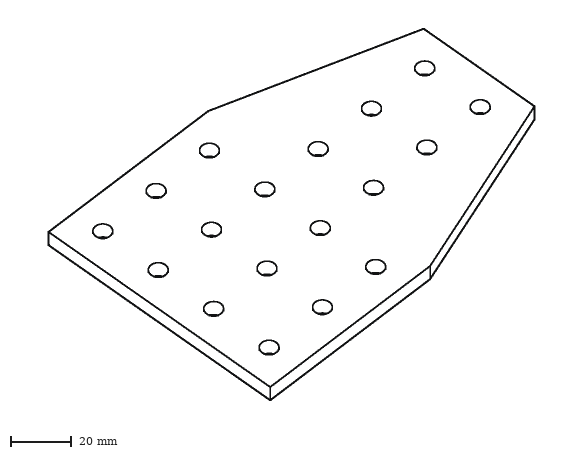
import cadquery as cq

length = 152.4
thickness = 6.4
hole_diameter = 6.5
rows = 6
wide_columns = 4
narrow_columns = 2
wide_rows = 3

pitch = length / rows
half_width = wide_columns * pitch / 2
half_end_width = narrow_columns * pitch / 2
taper_start = wide_rows * pitch


def hole_centres():
    """Grid cell centres: full-width rows first, then the tapered rows."""
    centres = []
    for row in range(rows):
        columns = wide_columns if row < wide_rows else narrow_columns
        for column in range(columns):
            x = (column - (columns - 1) / 2) * pitch
            y = (row + 0.5) * pitch
            centres.append((x, y))
    return centres


def plate():
    """Flat plate, straight-sided at the wide end and tapering to the narrow end."""
    outline = [
        (-half_width, 0),
        (half_width, 0),
        (half_width, taper_start),
        (half_end_width, length),
        (-half_end_width, length),
        (-half_width, taper_start),
    ]
    return cq.Workplane("XY").polyline(outline).close().extrude(thickness)


def hole_cutters():
    """Cylinders through the full plate thickness."""
    return cq.Workplane("XY").pushPoints(hole_centres()).circle(hole_diameter / 2).extrude(thickness)


result = plate().cut(hole_cutters())